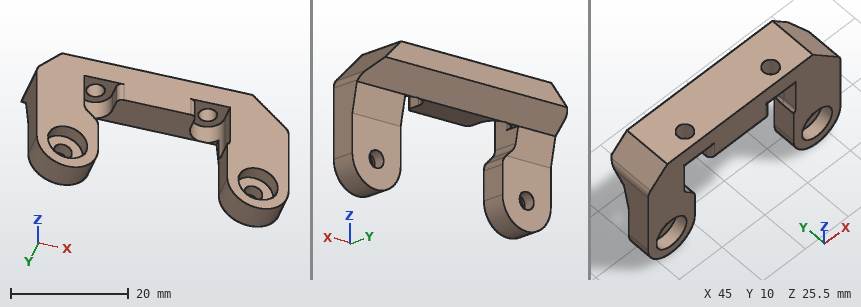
import cadquery as cq
import math

length = 45.0
depth = 10.0
height = 25.5

leg_radius = 5.5
leg_thickness = 4.8
bolt_diameter = 3.2
bolt_head_diameter = 7.0
bolt_head_depth = 2.5
left_leg_inner_x = 2 * leg_radius
right_leg_inner_x = length - 2 * leg_radius
right_bolt_x = length - leg_radius

bar_bottom_z = 17.9
left_chamfer = 4.5
right_chamfer = 6.5
corner_radius = 2.0

knee_y = 6.0
knee_z = bar_bottom_z
taper_end_z = 12.55

screw_y = 3.0
left_screw_x = 11.48
right_screw_x = 31.5
recess_radius = 3.0
recess_top_z = 21.5
recess_round = 1.0
left_relief_x = left_screw_x - recess_radius
left_step_top_z = 14.2
right_recess_floor_z = 13.0


def make_body():
    """Front outline cut to the stepped side profile."""
    step_width = left_leg_inner_x - left_relief_x
    front = (
        cq.Workplane("XZ")
        .moveTo(0, leg_radius)
        .threePointArc((leg_radius, 0), (left_leg_inner_x, leg_radius))
        .lineTo(left_leg_inner_x, left_step_top_z - step_width)
        .lineTo(left_relief_x, left_step_top_z)
        .lineTo(left_relief_x, bar_bottom_z)
        .lineTo(right_leg_inner_x, bar_bottom_z)
        .lineTo(right_leg_inner_x, leg_radius)
        .threePointArc((right_bolt_x, 0), (length, leg_radius))
        .lineTo(length, height - right_chamfer)
        .lineTo(length - right_chamfer, height)
        .lineTo(left_chamfer, height)
        .lineTo(0, height - left_chamfer)
        .close()
        .extrude(-depth)
    )
    rounded_corners = [
        (0, height - left_chamfer),
        (length, height - right_chamfer),
        (left_relief_x, left_step_top_z),
        (left_leg_inner_x, left_step_top_z - step_width),
    ]
    for x, z in rounded_corners:
        corner_edge = cq.selectors.NearestToPointSelector((x, depth / 2, z))
        front = front.edges("|Y").edges(corner_edge).fillet(corner_radius)

    side = (
        cq.Workplane("YZ")
        .polyline([
            (0, 0),
            (leg_thickness, 0),
            (leg_thickness, taper_end_z),
            (knee_y, knee_z),
            (depth, knee_z + depth - knee_y),
            (depth, height),
            (0, height),
        ])
        .close()
        .extrude(length)
    )
    return front.intersect(side)


def screw_recess(screw_x, floor_z):
    """Round-backed slot, open to the front and rounded around its floor."""
    slot_length = 4 * recess_radius
    slot_center_y = screw_y + recess_radius - slot_length / 2
    return (
        cq.Workplane("XY", origin=(screw_x, slot_center_y, floor_z))
        .slot2D(slot_length, 2 * recess_radius, 90)
        .extrude(recess_top_z - floor_z)
        .faces("<Z")
        .edges()
        .fillet(recess_round)
    )


def recess_mouth(screw_x, inward):
    """Rounds the recess mouth into the crossbar, on the inward side (+1 or -1 along X)."""
    wall_x = screw_x + inward * recess_radius
    arc_step = recess_round * math.sqrt(0.5)
    arc_middle = (wall_x + inward * (recess_round - arc_step), recess_round - arc_step)
    return (
        cq.Workplane("XY", origin=(0, 0, bar_bottom_z))
        .moveTo(wall_x, recess_round)
        .threePointArc(arc_middle, (wall_x + inward * recess_round, 0))
        .lineTo(wall_x, 0)
        .close()
        .extrude(recess_top_z - bar_bottom_z)
    )


result = make_body()

result = result.cut(screw_recess(left_screw_x, bar_bottom_z - recess_round))
result = result.cut(screw_recess(right_screw_x, right_recess_floor_z))
result = result.cut(recess_mouth(left_screw_x, 1))
result = result.cut(recess_mouth(right_screw_x, -1))

for screw_x in (left_screw_x, right_screw_x):
    screw_hole = (
        cq.Workplane("XY", origin=(screw_x, screw_y, bar_bottom_z))
        .circle(bolt_diameter / 2)
        .extrude(height - bar_bottom_z)
    )
    result = result.cut(screw_hole)

for bolt_x in (leg_radius, right_bolt_x):
    bolt_plane = cq.Workplane("XZ", origin=(bolt_x, 0, leg_radius))
    result = result.cut(bolt_plane.circle(bolt_diameter / 2).extrude(-leg_thickness))
    result = result.cut(bolt_plane.circle(bolt_head_diameter / 2).extrude(-bolt_head_depth))